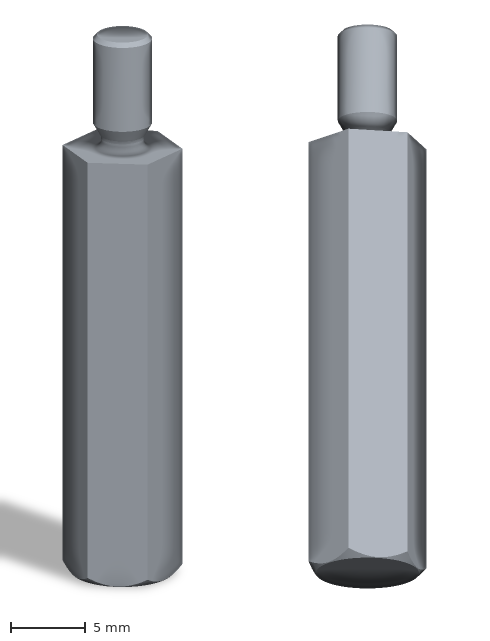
import cadquery as cq
import math

total_height = 38.0
stud_length = 7.98
body_height = total_height - stud_length
across_flats = 7.0
across_corners = across_flats / math.cos(math.radians(30))

base_diameter = 6.9
base_chamfer = (across_corners - base_diameter) / 2

stud_radius = 4.0 / 2
tip_chamfer = 0.285
neck_radius = 2.9 / 2
undercut_height = 1.75
taper_angle = 30.0
undercut_fillet = 0.45
taper_height = (stud_radius - neck_radius) / math.tan(math.radians(taper_angle))


def make_body():
    hexagon = cq.Workplane("XY").polygon(6, across_corners).extrude(body_height)
    envelope = (
        cq.Workplane("XY")
        .circle(across_corners / 2)
        .extrude(body_height)
        .faces("<Z")
        .chamfer(base_chamfer)
    )
    return hexagon.intersect(envelope)


def make_stud():
    taper_top = body_height + undercut_height
    taper_bottom = taper_top - taper_height
    profile = [
        (0, body_height),
        (neck_radius, body_height),
        (neck_radius, taper_bottom),
        (stud_radius, taper_top),
        (stud_radius, total_height - tip_chamfer),
        (stud_radius - tip_chamfer, total_height),
        (0, total_height),
    ]
    return cq.Workplane("XZ").polyline(profile).close().revolve(360, (0, 0), (0, 1))


def round_undercut(part):
    """Round the two inside corners of the neck."""
    at_neck = cq.selectors.BoxSelector(
        (-stud_radius, -stud_radius, body_height - undercut_fillet),
        (stud_radius, stud_radius, body_height + undercut_height),
        boundingbox=True,
    )
    neck_circles = part.edges(at_neck).edges("%CIRCLE").edges(cq.selectors.RadiusNthSelector(0))
    return neck_circles.fillet(undercut_fillet)


result = round_undercut(make_body().union(make_stud()))